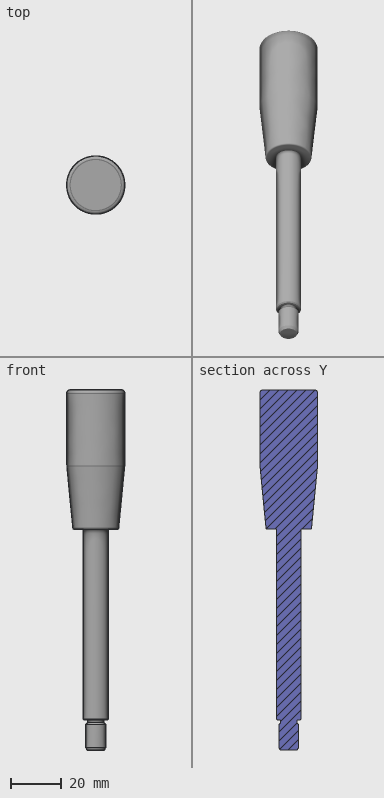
import cadquery as cq

total_length = 142.0

grip_diameter = 23.0
grip_seam_diameter = 22.9
grip_end_diameter = 18.0
grip_length = 55.0
grip_upper_length = 30.0
grip_top_fillet = 1.4
grip_end_fillet = 0.5

shaft_diameter = 10.0
shaft_end_chamfer = 0.4

thread_diameter = 8.0
thread_length = 11.9
thread_tip_diameter = 6.7
thread_tip_height = 1.1
undercut_diameter = 6.5
undercut_height = 1.0

grip_bottom = total_length - grip_length
grip_seam = total_length - grip_upper_length
undercut_bottom = thread_length - undercut_height
undercut_depth = (thread_diameter - undercut_diameter) / 2


def make_grip():
    """Turned grip with rounded rims at both ends."""
    profile = (
        cq.Workplane("XZ")
        .moveTo(0, grip_bottom)
        .lineTo(grip_end_diameter / 2, grip_bottom)
        .lineTo(grip_seam_diameter / 2, grip_seam)
        .lineTo(grip_diameter / 2, total_length)
        .lineTo(0, total_length)
        .close()
    )
    grip = profile.revolve(360, (0, 0, 0), (0, 1, 0))
    grip = grip.faces(">Z").edges().fillet(grip_top_fillet)
    return grip.faces("<Z").edges().fillet(grip_end_fillet)


def make_shaft():
    """Plain shaft running from the threaded end up to the grip."""
    shaft = (
        cq.Workplane("XY")
        .workplane(offset=thread_length)
        .circle(shaft_diameter / 2)
        .extrude(grip_bottom - thread_length)
    )
    return shaft.faces("<Z").edges().chamfer(shaft_end_chamfer)


def make_threaded_end():
    """Threaded end with a conical tip and a 45 degree run-out into the undercut."""
    profile = (
        cq.Workplane("XZ")
        .moveTo(0, 0)
        .lineTo(thread_tip_diameter / 2, 0)
        .lineTo(thread_diameter / 2, thread_tip_height)
        .lineTo(thread_diameter / 2, undercut_bottom - undercut_depth)
        .lineTo(undercut_diameter / 2, undercut_bottom)
        .lineTo(undercut_diameter / 2, thread_length)
        .lineTo(0, thread_length)
        .close()
    )
    return profile.revolve(360, (0, 0, 0), (0, 1, 0))


result = make_grip().union(make_shaft()).union(make_threaded_end())